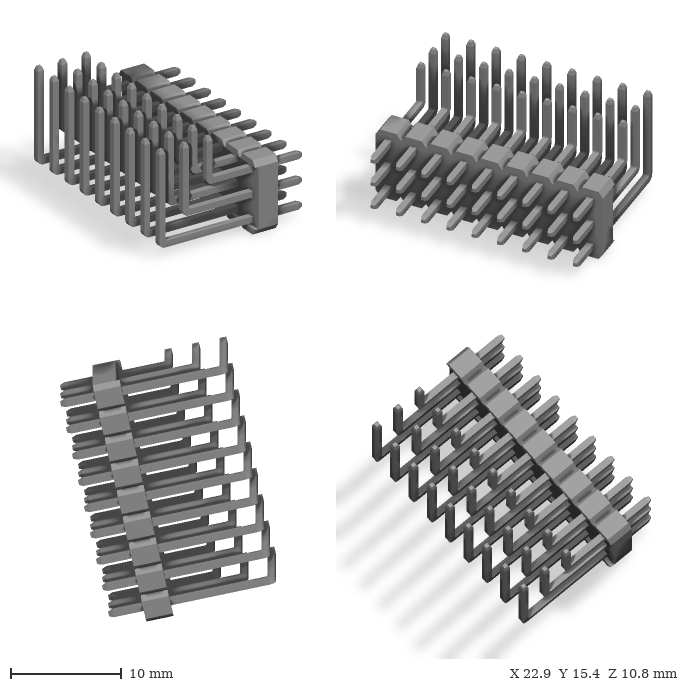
import cadquery as cq


column_count = 9
row_count = 3
housing_length = 22.85
pitch = housing_length / column_count

wall_depth = 2.1
wall_height = 6.26
flange_depth = 2.5
flange_height = 0.62
flange_slope_width = 0.43
flange_gap = 0.011

pin_width = 0.65
pin_back_reach = 3.25
pin_front_reach = 12.16
pin_top = 7.0
tip_length = 0.41
tip_width = 0.37
bend_outer_radius = 0.6
bend_inner_radius = 0.23


def column_x(column):
    """X of a pin column, counted from the -X end."""
    return (column - (column_count - 1) / 2) * pitch


def make_wall():
    """Plain rectangular block that carries the pins."""
    wall = cq.Workplane("XY").box(housing_length, wall_depth, wall_height)
    return wall.translate((0, -wall_depth / 2, 0))


def make_flange(x):
    """One trapezoidal segment on top of the wall, overhanging its front face."""
    half_base = (pitch - flange_gap) / 2
    half_crest = pitch / 2 - flange_slope_width
    base_z = wall_height / 2
    crest_z = base_z + flange_height
    return (
        cq.Workplane("XZ")
        .polyline([
            (x - half_base, base_z),
            (x - half_crest, crest_z),
            (x + half_crest, crest_z),
            (x + half_base, base_z),
        ])
        .close()
        .extrude(flange_depth)
    )


def make_tip(base_plane):
    """Square taper that grows from the given plane along its normal."""
    return (
        cq.Workplane(base_plane)
        .rect(pin_width, pin_width)
        .workplane(offset=tip_length)
        .rect(tip_width, tip_width)
        .loft(combine=True)
    )


def make_pin(x, row):
    """L-shaped square pin; row 0 is the lowest and has the longest legs."""
    half_width = pin_width / 2
    row_z = (row - (row_count - 1) / 2) * pitch
    leg_y = -pin_front_reach + half_width + row * pitch
    back_y = pin_back_reach - tip_length
    leg_top = pin_top - tip_length

    outer_y = leg_y - half_width
    inner_y = leg_y + half_width
    outer_z = row_z - half_width
    inner_z = row_z + half_width

    shank = (
        cq.Workplane("YZ")
        .workplane(offset=x - half_width)
        .moveTo(back_y, outer_z)
        .lineTo(outer_y + bend_outer_radius, outer_z)
        .radiusArc((outer_y, outer_z + bend_outer_radius), bend_outer_radius)
        .lineTo(outer_y, leg_top)
        .lineTo(inner_y, leg_top)
        .lineTo(inner_y, inner_z + bend_inner_radius)
        .radiusArc((inner_y + bend_inner_radius, inner_z), -bend_inner_radius)
        .lineTo(back_y, inner_z)
        .close()
        .extrude(pin_width)
    )
    back_plane = cq.Plane(origin=(x, back_y, row_z), xDir=(1, 0, 0), normal=(0, 1, 0))
    top_plane = cq.Plane(origin=(x, leg_y, leg_top), xDir=(1, 0, 0), normal=(0, 0, 1))
    return shank.union(make_tip(back_plane)).union(make_tip(top_plane))


result = make_wall()
for column in range(column_count):
    x = column_x(column)
    upper_flange = make_flange(x)
    result = result.union(upper_flange).union(upper_flange.mirror("XY"))
    for row in range(row_count):
        result = result.union(make_pin(x, row))